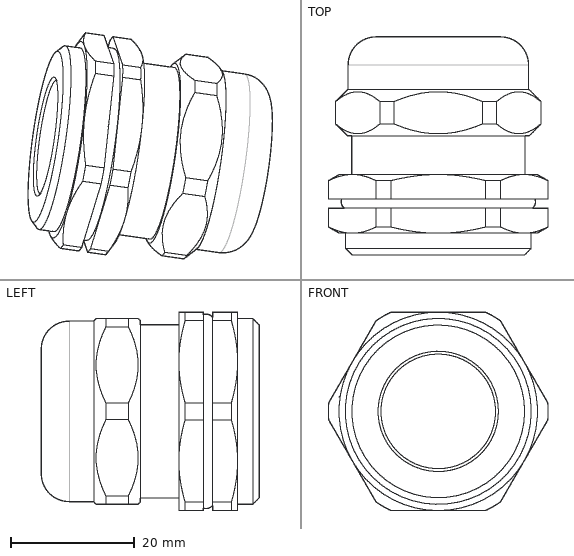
import cadquery as cq
import math


thread_end = 3.5
locknut_end = 7.55
seal_end = 9.0
body_hex_end = 13.0
barrel_end = 19.2
cap_hex_end = 26.7
total_length = 35.2

thread_diameter = 30.0
thread_chamfer = 1.05
bore_diameter = 18.5
bore_depth = 3.55
bore_chamfer = 0.45

nut_flats = 32.0
nut_corners = 35.5
nut_chamfer_angle = 30.0

seal_diameter = 31.4
seal_crest = 8.6
seal_tube_radius = 1.3

barrel_diameter = 28.0
cap_flats = 30.0
cap_corners = 33.2
cap_face_diameter = 29.3
cap_diameter = 29.17
cap_chamfer_angle = 45.0
dome_radius = 4.55


def cylinder(start, end, diameter):
    """Cylinder along +Y between two stations."""
    plane = cq.Workplane("XZ", origin=(0, start, 0))
    return plane.circle(diameter / 2).extrude(start - end)


def hexagon(start, end, flats, corners, face_diameter, angle, chamfer_start, chamfer_end):
    """Hexagonal prism with corners on +X and -X, turned down to a chamfered round blank."""
    prism = (
        cq.Workplane("XZ", origin=(0, start, 0))
        .polygon(6, flats / math.cos(math.radians(30)))
        .extrude(start - end)
    )
    radial = (corners - face_diameter) / 2
    axial = radial * math.tan(math.radians(angle))
    blank = cylinder(start, end, corners)
    if chamfer_start:
        blank = blank.faces("<Y").chamfer(axial, radial)
    if chamfer_end:
        blank = blank.faces(">Y").chamfer(axial, radial)
    return prism.intersect(blank)


def nut(start, end, chamfer_start, chamfer_end):
    """Large hexagon whose end chamfer just touches its flats."""
    return hexagon(
        start, end, nut_flats, nut_corners, nut_flats, nut_chamfer_angle, chamfer_start, chamfer_end
    )


def seal_radius(station):
    """Outer radius of the bulged seal at a station along Y."""
    tube_center_radius = seal_diameter / 2 - seal_tube_radius
    return tube_center_radius + math.sqrt(seal_tube_radius**2 - (station - seal_crest) ** 2)


def bulged_ring():
    """Seal disc whose rim is one circular arc, widest at seal_crest."""
    return (
        cq.Workplane("XY")
        .moveTo(0, locknut_end)
        .lineTo(seal_radius(locknut_end), locknut_end)
        .threePointArc((seal_radius(seal_crest), seal_crest), (seal_radius(seal_end), seal_end))
        .lineTo(0, seal_end)
        .close()
        .revolve(360, (0, 0, 0), (0, 1, 0))
    )


thread = cylinder(0, thread_end, thread_diameter).faces("<Y").chamfer(thread_chamfer)
locknut = nut(thread_end, locknut_end, True, False)
seal = bulged_ring()
body_hex = nut(seal_end, body_hex_end, False, True)
barrel = cylinder(body_hex_end, barrel_end, barrel_diameter)
cap_hex = hexagon(
    barrel_end, cap_hex_end, cap_flats, cap_corners, cap_face_diameter, cap_chamfer_angle, True, True
)
dome = cylinder(cap_hex_end, total_length, cap_diameter).faces(">Y").edges().fillet(dome_radius)

result = thread
for section in (locknut, seal, body_hex, barrel, cap_hex, dome):
    result = result.union(section)

bore = cylinder(0, bore_depth, bore_diameter)
result = result.cut(bore)
mouth_edge = result.faces("<Y").edges(cq.selectors.RadiusNthSelector(0))
result = mouth_edge.chamfer(bore_chamfer)